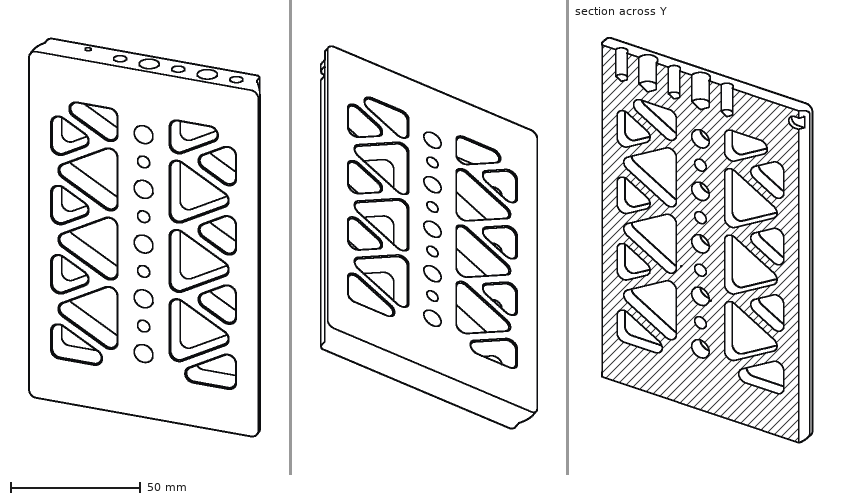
import cadquery as cq
import math

length = 152.4
width = 95.0
plate_depth = 12.2
corner_radius = 3.0
edge_land = 2.0
neck_half_width = 43.9
neck_start = 8.0
back_chamfer = 1.0

overall_depth = 23.0
web_thickness = 1.0
flange_angle = math.radians(30)
flange_tip_outer = 34.1
flange_tip_width = 7.0
channel_half_length = 65.7
channel_end_angle = math.radians(40)
channel_end_radius = 10.0

pocket_depth = 10.7
pocket_inner_x = 11.1
pocket_outer_x = 38.0
pocket_half_height = 56.7
pocket_pitch = 30.5
pocket_rows = 3
first_apex_z = 56.2
rib_width = 4.3
rib_angle = math.radians(30)
pocket_radius = 3.0
pocket_chamfer = 0.5
pocket_chamfer_angle = 45

hole_pitch = 12.0
large_diameter = 7.8
small_diameter = 5.0
front_hole_count = 9
top_hole_count = 5
first_top_hole_x = -hole_pitch
top_hole_y = plate_depth / 2
top_hole_depth = 12.2
drill_tip_angle = math.radians(118)
pin_diameter = 2.5
pin_x = -26.4
pin_y = 9.0
pin_depth = 6.1

slot_width = 5.0
slot_z = 70.3
slot_center_x = -43.0
slot_floor_y = 4.0


def extrude_along_z(points):
    """Prism over the full length from an outline of (x, y) points."""
    return cq.Workplane("XY").workplane(offset=-length / 2).polyline(points).close().extrude(length)


def mirrored_outline(half):
    """Closed outline from its +X half, listed from front to back."""
    return half + [(-x, y) for x, y in reversed(half)]


def make_plate():
    """Plate with dovetail side edges and rounded corners."""
    body = extrude_along_z(mirrored_outline([
        (width / 2, 0),
        (width / 2, edge_land),
        (neck_half_width, neck_start),
        (neck_half_width, plate_depth - back_chamfer),
        (neck_half_width - back_chamfer, plate_depth),
    ]))
    rounded = (
        cq.Workplane("XY")
        .box(width, plate_depth, length, centered=(True, False, True))
        .edges("|Y")
        .fillet(corner_radius)
    )
    return body.intersect(rounded)


def make_channel():
    """Web and two splayed flanges, with sloped and rounded ends."""
    web_back = plate_depth + web_thickness
    splay = math.tan(flange_angle)
    tip_inner = flange_tip_outer - flange_tip_width
    section = extrude_along_z(mirrored_outline([
        (flange_tip_outer - (overall_depth - plate_depth) * splay, plate_depth),
        (flange_tip_outer, overall_depth),
        (tip_inner, overall_depth),
        (tip_inner - (overall_depth - web_back) * splay, web_back),
    ]))
    slope_run = (overall_depth - plate_depth) / math.tan(channel_end_angle)
    crest = channel_half_length - slope_run
    side = (
        cq.Workplane("YZ")
        .polyline([
            (plate_depth, -channel_half_length),
            (overall_depth, -crest),
            (overall_depth, crest),
            (plate_depth, channel_half_length),
        ])
        .close()
        .extrude(width / 2, both=True)
        .edges("|X and >Y")
        .fillet(channel_end_radius)
    )
    return section.intersect(side)


def pocket_triangles():
    """Sharp (x, z) triangles of the +X pocket column, between zigzag ribs."""
    slope = math.tan(rib_angle)
    big_half = (pocket_outer_x - pocket_inner_x) * slope
    small_half = pocket_pitch / 2 - rib_width / math.cos(rib_angle)
    small_apex_x = pocket_outer_x - small_half / slope

    top_run = (pocket_half_height - first_apex_z + big_half) / slope
    triangles = [[
        (pocket_inner_x, first_apex_z - big_half),
        (pocket_inner_x, pocket_half_height),
        (pocket_inner_x + top_run, pocket_half_height),
    ]]
    for row in range(pocket_rows):
        small_z = first_apex_z - (row + 0.5) * pocket_pitch
        big_z = first_apex_z - (row + 1) * pocket_pitch
        triangles.append([
            (small_apex_x, small_z),
            (pocket_outer_x, small_z + small_half),
            (pocket_outer_x, small_z - small_half),
        ])
        triangles.append([
            (pocket_outer_x, big_z),
            (pocket_inner_x, big_z + big_half),
            (pocket_inner_x, big_z - big_half),
        ])
    last_top = first_apex_z - (pocket_rows + 0.5) * pocket_pitch + small_half
    triangles.append([
        (pocket_outer_x, last_top),
        (pocket_outer_x, -pocket_half_height),
        (pocket_outer_x - (last_top + pocket_half_height) / slope, -pocket_half_height),
    ])
    return triangles


def make_pocket(triangle):
    """Pocket cutter with rounded corners and a chamfered mouth at the front face."""
    body = (
        cq.Workplane("XZ")
        .polyline(triangle)
        .close()
        .extrude(-pocket_depth)
        .edges("|Y")
        .fillet(pocket_radius)
    )
    mouth = (
        body.faces("<Y")
        .wires()
        .toPending()
        .offset2D(pocket_chamfer)
        .extrude(-pocket_chamfer, taper=pocket_chamfer_angle, combine=False)
    )
    return body.union(mouth)


def cut_pockets(part):
    """Both pocket columns, mirrored about the centre line."""
    for triangle in pocket_triangles():
        pocket = make_pocket(triangle)
        part = part.cut(pocket).cut(pocket.mirror("YZ"))
    return part


def cut_front_holes(part):
    """Row of alternating through holes on the centre line."""
    for index in range(front_hole_count):
        z = (index - (front_hole_count - 1) / 2) * hole_pitch
        diameter = large_diameter if index % 2 == 0 else small_diameter
        hole = cq.Workplane("XZ").center(0, z).circle(diameter / 2).extrude(-overall_depth)
        part = part.cut(hole)
    return part


def drill_down(part, x, y, diameter, depth):
    """Blind hole with a conical end, drilled down from the top edge."""
    radius = diameter / 2
    tip = radius / math.tan(drill_tip_angle / 2)
    top = length / 2
    drill = (
        cq.Workplane("XZ")
        .polyline([(0, top), (radius, top), (radius, top - depth), (0, top - depth - tip)])
        .close()
        .revolve(360, (0, 0, 0), (0, 1, 0))
        .translate((x, y, 0))
    )
    return part.cut(drill)


def cut_top_holes(part):
    """Row of alternating holes and one offset pin hole in the top edge."""
    for index in range(top_hole_count):
        diameter = small_diameter if index % 2 == 0 else large_diameter
        x = first_top_hole_x + index * hole_pitch
        part = drill_down(part, x, top_hole_y, diameter, top_hole_depth)
    return drill_down(part, pin_x, pin_y, pin_diameter, pin_depth)


def cut_edge_slot(part):
    """Round-ended slot, open to the -X edge and to the back of the plate."""
    edge_x = -width / 2
    half = slot_width / 2
    slot = (
        cq.Workplane("XZ", origin=(0, slot_floor_y, slot_z))
        .moveTo(edge_x, -half)
        .lineTo(slot_center_x, -half)
        .threePointArc((slot_center_x + half, 0), (slot_center_x, half))
        .lineTo(edge_x, half)
        .close()
        .extrude(slot_floor_y - plate_depth)
    )
    return part.cut(slot)


result = make_plate().union(make_channel())
result = cut_pockets(result)
result = cut_front_holes(result)
result = cut_top_holes(result)
result = cut_edge_slot(result)